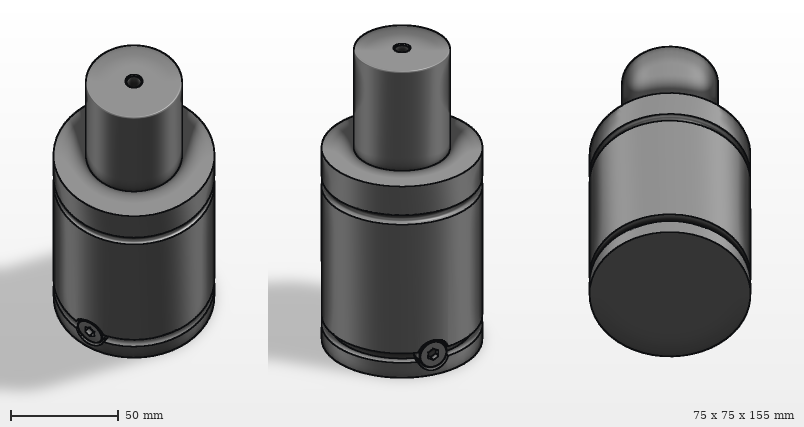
import cadquery as cq
import math

total_height = 155.0
body_diameter = 75.0
body_height = 102.0
rod_diameter = 45.0
rod_end_round = 1.0

round_groove_radius = 2.5
round_groove_z = 84.2

square_groove_bottom = 8.0
square_groove_width = 5.0
square_groove_depth = 4.0

rod_hole_diameter = 6.8
rod_hole_mouth_diameter = 8.0
rod_hole_depth = 18.6
drill_tip_angle = 118.0

port_z = square_groove_bottom + square_groove_width / 2
port_diameter = 16.0
port_depth = 8.0
plug_diameter = 14.0
plug_recess = 0.6
plug_chamfer = 0.5
hex_across_corners = 6.0
hex_depth = 3.1

body_radius = body_diameter / 2
port_floor_y = -body_radius + port_depth
plug_face_y = -body_radius + plug_recess


def make_body():
    """Cylinder with a semicircular groove and a square groove around it."""
    body = cq.Workplane("XY").circle(body_radius).extrude(body_height)
    round_groove = (
        cq.Workplane("XZ")
        .center(body_radius, round_groove_z)
        .circle(round_groove_radius)
        .revolve(360, (-body_radius, 0), (-body_radius, 1))
    )
    square_groove = (
        cq.Workplane("XY", origin=(0, 0, square_groove_bottom))
        .circle(body_radius)
        .circle(body_radius - square_groove_depth)
        .extrude(square_groove_width)
    )
    return body.cut(round_groove).cut(square_groove)


def make_rod():
    """Piston rod with a rounded end and a countersunk, drill-tipped hole."""
    rod = (
        cq.Workplane("XY", origin=(0, 0, body_height))
        .circle(rod_diameter / 2)
        .extrude(total_height - body_height)
        .faces(">Z")
        .fillet(rod_end_round)
    )
    hole_radius = rod_hole_diameter / 2
    mouth_chamfer = (rod_hole_mouth_diameter - rod_hole_diameter) / 2
    hole_bottom = total_height - rod_hole_depth
    tip = cq.Solid.makeCone(
        hole_radius,
        0,
        hole_radius / math.tan(math.radians(drill_tip_angle / 2)),
        cq.Vector(0, 0, hole_bottom),
        cq.Vector(0, 0, -1),
    )
    hole = cq.Workplane("XY", origin=(0, 0, hole_bottom)).circle(hole_radius).extrude(rod_hole_depth)
    countersink = cq.Solid.makeCone(
        rod_hole_mouth_diameter / 2,
        hole_radius,
        mouth_chamfer,
        cq.Vector(0, 0, total_height),
        cq.Vector(0, 0, -1),
    )
    return rod.cut(hole).cut(cq.Workplane(tip)).cut(cq.Workplane(countersink))


def port_plane(y):
    """Plane across the port axis at the given Y, facing outward along -Y."""
    return cq.Workplane("XZ", origin=(0, y, port_z))


def make_plug():
    """Chamfered round plug standing on the port floor, with a hex socket."""
    plug = (
        port_plane(port_floor_y)
        .circle(plug_diameter / 2)
        .extrude(port_floor_y - plug_face_y)
        .faces("<Y")
        .chamfer(plug_chamfer)
    )
    socket = (
        port_plane(plug_face_y)
        .transformed(rotate=(0, 0, 90))
        .polygon(6, hex_across_corners)
        .extrude(-hex_depth)
    )
    return plug.cut(socket)


port = port_plane(port_floor_y).circle(port_diameter / 2).extrude(port_depth)
result = make_body().cut(port).union(make_plug()).union(make_rod())